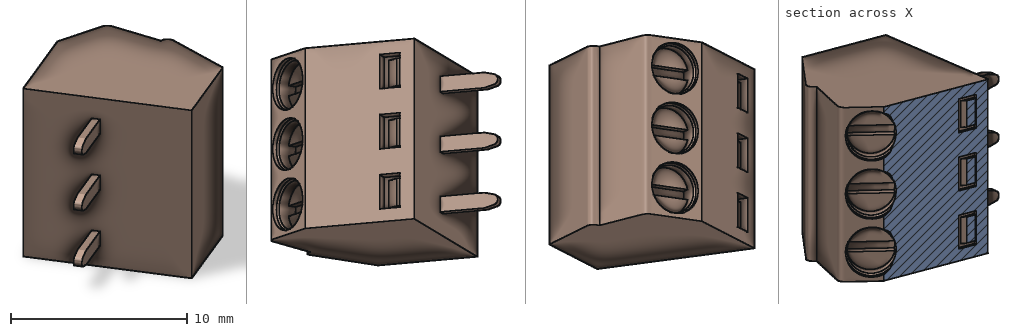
import cadquery as cq


poles = 3
width = 10.0
height = 10.5
pitch = height / poles
screw_face_start = 6.63
ridge_x, ridge_y = 2.03, 9.6
notch_x, notch_y = 5.56, 8.45
step_x, step_y = 5.9, 8.93
rear_height = 6.03
ridge_radius = 0.5
step_radius = 0.4

screw_y = 8.06
hole_radius = 1.5
hole_depth = 0.26
head_chamfer = 0.1
head_radius = hole_radius - head_chamfer
head_depth = 1.0
slot_width = 0.6
slot_depth = 0.5

entry_low = 0.87
entry_high = 2.1
entry_height = 2.0
entry_depth = 0.75
guard_low = 0.91
guard_edge = 1.25
guard_high = 1.83
guard_height = 1.6
guard_rise = 0.31

pin_length = 3.5
pin_thickness = 0.5
pin_width = 0.9
pin_x = 4.32
taper_start = 2.7
nose_width = 0.5
nose_radius = 0.3


def make_housing():
    outline = [
        (0, 0),
        (0, screw_face_start),
        (ridge_x, ridge_y),
        (notch_x, notch_y),
        (step_x, step_y),
        (width, rear_height),
        (width, 0),
    ]
    block = cq.Workplane("XY").polyline(outline).close().extrude(height / 2, both=True)
    block = block.edges(cq.selectors.NearestToPointSelector((ridge_x, ridge_y, 0))).fillet(ridge_radius)
    return block.edges(cq.selectors.NearestToPointSelector((step_x, step_y, 0))).fillet(step_radius)


def make_screw_hole(z):
    """Stepped round recess down to the screw head, with the driver slot below it."""
    run = ridge_x
    rise = ridge_y - screw_face_start
    screw_x = (screw_y - screw_face_start) * run / rise
    face = cq.Plane(origin=(screw_x, screw_y, z), xDir=(run, rise, 0), normal=(rise, -run, 0))
    profile = [
        (0, 0),
        (hole_radius, 0),
        (hole_radius, hole_depth),
        (head_radius, hole_depth + head_chamfer),
        (head_radius, head_depth),
        (0, head_depth),
    ]
    recess = cq.Workplane("XZ").polyline(profile).close().revolve(360, (0, 0), (0, 1))
    bottom = cq.Workplane("XY").workplane(offset=head_depth)
    slot = bottom.circle(head_radius).extrude(slot_depth)
    slot = slot.intersect(bottom.rect(2 * head_radius, slot_width).extrude(slot_depth))
    return cq.Workplane(obj=recess.union(slot).val().moved(cq.Location(face)))


def make_wire_entry(z):
    """Rectangular pocket in the wire side with a ramped wire guard left standing on its floor."""
    pocket = (
        cq.Workplane("XY", origin=(0, 0, z))
        .polyline([(0, entry_low), (entry_depth, entry_low), (entry_depth, entry_high), (0, entry_high)])
        .close()
        .extrude(entry_height / 2, both=True)
    )
    guard_top = entry_depth - guard_rise
    guard = (
        cq.Workplane("XY", origin=(0, 0, z))
        .polyline([
            (entry_depth, guard_low),
            (guard_top, guard_low),
            (guard_top, guard_edge),
            (entry_depth, guard_high),
        ])
        .close()
        .extrude(guard_height / 2, both=True)
    )
    return pocket.cut(guard)


def make_pin(z):
    """Flat pin with a tapered, rounded nose."""
    half = pin_width / 2
    half_nose = nose_width / 2
    outline = [
        (0, half),
        (-taper_start, half),
        (-pin_length, half_nose),
        (-pin_length, -half_nose),
        (-taper_start, -half),
        (0, -half),
    ]
    pin = cq.Workplane("YZ", origin=(pin_x, 0, z)).polyline(outline).close()
    pin = pin.extrude(pin_thickness / 2, both=True)
    return pin.faces("<Y").edges("|X").fillet(nose_radius)


result = make_housing()
for pole in range(poles):
    pole_z = (pole - (poles - 1) / 2) * pitch
    result = result.cut(make_screw_hole(pole_z))
    result = result.cut(make_wire_entry(pole_z))
    result = result.union(make_pin(pole_z))